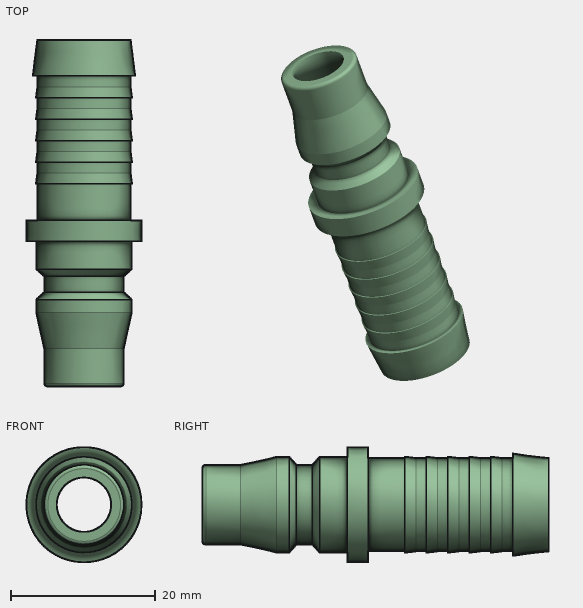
import cadquery as cq

LENGTH = 48.0
FRONT_Y = -LENGTH / 2
BACK_Y = LENGTH / 2

BORE_RADIUS = 3.75
COLLAR_DIAMETER = 16.0
COLLAR_RADIUS = COLLAR_DIAMETER / 2
BODY_RADIUS = 6.6
NECK_RADIUS = 5.5
SHANK_RADIUS = 6.5
BARB_RADIUS = 6.65
HEAD_RADIUS = 7.1

TIP_FILLET = 0.5
TIP_LENGTH = 5.3
FLARE_LENGTH = 5.0
LAND_LENGTH = 1.8
GROOVE_SLOPE = 1.0
GROOVE_FLOOR = 2.2
COLLAR_WIDTH = 2.9

HEAD_LENGTH = 5.0
COLLAR_FROM_BACK = 25.0
BARB_COUNT = 5
BARB_LENGTH = 1.5
BARB_PITCH = 2 * BARB_LENGTH
FIRST_BARB_GAP = 1.55


def turned(profile):
    """Revolve a half profile (radius along X, axis along Y) into a solid."""
    return profile.close().revolve(360, (0, 0, 0), (0, 1, 0))


def make_plug():
    """Front plug: rounded tip, conical flare, locking groove and collar."""
    flare_start = FRONT_Y + TIP_LENGTH
    flare_end = flare_start + FLARE_LENGTH
    groove_front = flare_end + LAND_LENGTH
    floor_front = groove_front + GROOVE_SLOPE
    floor_back = floor_front + GROOVE_FLOOR
    groove_back = floor_back + GROOVE_SLOPE
    collar_back = BACK_Y - COLLAR_FROM_BACK
    collar_front = collar_back - COLLAR_WIDTH
    return turned(
        cq.Workplane("XY")
        .moveTo(0, FRONT_Y)
        .lineTo(NECK_RADIUS - TIP_FILLET, FRONT_Y)
        .radiusArc((NECK_RADIUS, FRONT_Y + TIP_FILLET), -TIP_FILLET)
        .lineTo(NECK_RADIUS, flare_start)
        .lineTo(BODY_RADIUS, flare_end)
        .lineTo(BODY_RADIUS, groove_front)
        .lineTo(NECK_RADIUS, floor_front)
        .lineTo(NECK_RADIUS, floor_back)
        .lineTo(BODY_RADIUS, groove_back)
        .lineTo(BODY_RADIUS, collar_front)
        .lineTo(COLLAR_RADIUS, collar_front)
        .lineTo(COLLAR_RADIUS, collar_back)
        .lineTo(0, collar_back)
    )


def make_hose_tail():
    """Back hose tail: conical head, then tapered barbs along a plain shank."""
    head_front = BACK_Y - HEAD_LENGTH
    profile = (
        cq.Workplane("XY")
        .moveTo(0, BACK_Y)
        .lineTo(SHANK_RADIUS, BACK_Y)
        .lineTo(HEAD_RADIUS, head_front)
        .lineTo(SHANK_RADIUS, head_front)
    )
    for index in range(BARB_COUNT):
        barb_back = head_front - FIRST_BARB_GAP - index * BARB_PITCH
        barb_front = barb_back - BARB_LENGTH
        profile = (
            profile.lineTo(SHANK_RADIUS, barb_back)
            .lineTo(BARB_RADIUS, barb_front)
            .lineTo(SHANK_RADIUS, barb_front)
        )
    collar_back = BACK_Y - COLLAR_FROM_BACK
    return turned(profile.lineTo(SHANK_RADIUS, collar_back).lineTo(0, collar_back))


def make_bore():
    """Straight bore through the whole length."""
    return (
        cq.Workplane("XZ", origin=(0, BACK_Y, 0))
        .circle(BORE_RADIUS)
        .extrude(LENGTH)
    )


result = make_plug().union(make_hose_tail()).cut(make_bore())